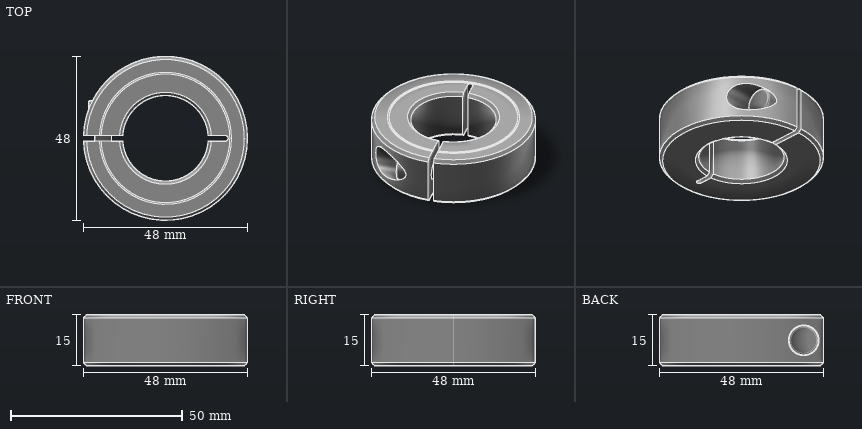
import cadquery as cq

outer_diameter = 48.0
width = 15.0
bore_diameter = 24.95
edge_chamfer = 0.95

groove_outer_radius = 19.3
groove_inner_radius = 18.8
groove_depth = 0.2

slot_width = 1.6
slot_reach = 18.3

screw_x = -18.2
shank_diameter = 5.0
head_diameter = 8.5
head_fillet = 0.45
head_top_y = 11.05
head_height = 5.0
shank_length = 15.85
recess_diameter = 8.95

outer_radius = outer_diameter / 2
head_seat_y = head_top_y - head_height


def cylinder_along_minus_y(diameter, start_y, length):
    """Cylinder on the screw axis, running from start_y toward -Y."""
    return (
        cq.Workplane("XZ", origin=(screw_x, start_y, 0))
        .circle(diameter / 2)
        .extrude(length)
    )


def make_ring():
    """Ring with all four circular edges chamfered."""
    return (
        cq.Workplane("XY", origin=(0, 0, -width / 2))
        .circle(outer_radius)
        .circle(bore_diameter / 2)
        .extrude(width)
        .faces("<Z or >Z")
        .edges()
        .chamfer(edge_chamfer)
    )


def make_groove():
    """Shallow circular groove in the top face."""
    return (
        cq.Workplane("XY", origin=(0, 0, width / 2 - groove_depth))
        .circle(groove_outer_radius)
        .circle(groove_inner_radius)
        .extrude(groove_depth)
    )


def make_slot():
    """Slot that splits the -X side and stops in a round end inside the +X side."""
    slot_radius = slot_width / 2
    end_center_x = slot_reach - slot_radius
    return (
        cq.Workplane("XY", origin=(0, 0, -width / 2))
        .moveTo(-outer_radius, -slot_radius)
        .lineTo(end_center_x, -slot_radius)
        .threePointArc((slot_reach, 0), (end_center_x, slot_radius))
        .lineTo(-outer_radius, slot_radius)
        .close()
        .extrude(width)
    )


def make_collar():
    """Clamp collar with its groove, slot, head recess and screw hole."""
    head_recess = cylinder_along_minus_y(recess_diameter, outer_radius, outer_radius - head_seat_y)
    screw_hole = cylinder_along_minus_y(shank_diameter, head_seat_y, shank_length)
    return (
        make_ring()
        .cut(make_groove())
        .cut(make_slot())
        .cut(head_recess)
        .cut(screw_hole)
    )


def make_screw():
    """Cap screw whose head rests on the floor of the recess."""
    head = (
        cylinder_along_minus_y(head_diameter, head_top_y, head_height)
        .faces(">Y")
        .edges()
        .fillet(head_fillet)
    )
    shank = cylinder_along_minus_y(shank_diameter, head_seat_y, shank_length)
    return head.union(shank)


collar = make_collar()
screw = make_screw()

result = cq.Compound.makeCompound([collar.solids().val(), screw.solids().val()])